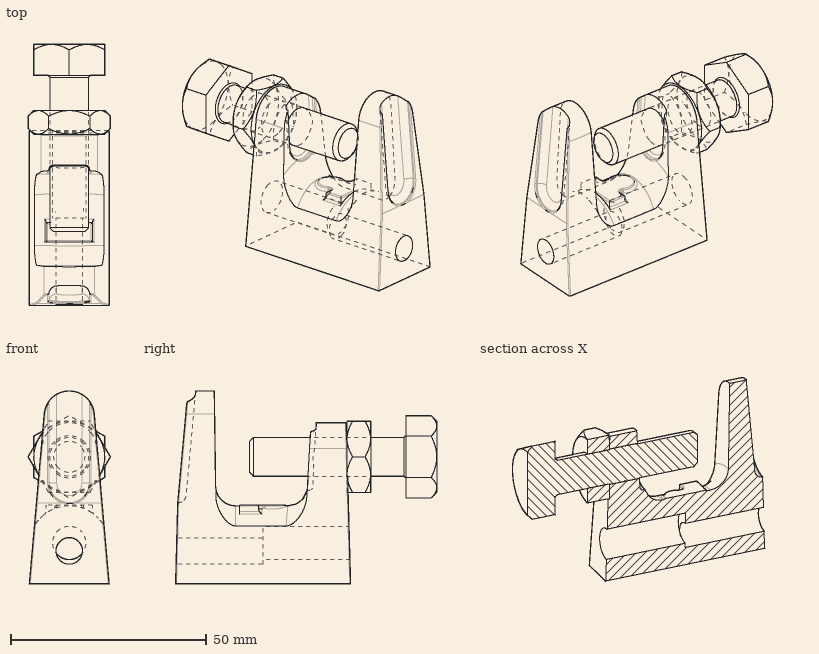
import cadquery as cq
import math

BASE_HALF_WIDTH = 10.25
SIDE_DRAFT = math.radians(5)
FRONT_ARM_HEIGHT = 49.5
REAR_ARM_HEIGHT = 41.4
BASE_LENGTH = 44.9
REAR_TOP_Y = 43.8
BEND_Y = 0.55
BEND_Z = 20.7
FRONT_TOP_Y = 3.15
EDGE_ROUND = 0.3

JAW_FOOT_Z = 24.55
FRONT_JAW_FOOT_Y = 10.3
FRONT_JAW_DRAFT = math.radians(0.8)
REAR_JAW_FOOT_Y = 33.8
REAR_JAW_DRAFT = math.radians(3.2)
SADDLE_RADIUS = 10.3
SADDLE_TOP_Z = 20.05
SADDLE_FILLET = 5.0

GROOVE_HALF_WIDTH = 5.3
GROOVE_WALL_DRAFT = 15.0
GROOVE_RIM_ROUND = 0.35
FRONT_GROOVE_CENTRE_Z = 26.0
FRONT_GROOVE_DEPTH = 2.0
FRONT_GROOVE_FILLET = 2.0
REAR_GROOVE_CENTRE_Z = 29.2
REAR_GROOVE_DEPTH = 1.35
REAR_GROOVE_FILLET = 0.8

PAD_TOP_Z = 20.25
PAD_BAR_HALF_WIDTH = 6.0
PAD_BAR_FRONT_Y = 16.35
PAD_BAR_REAR_Y = 21.3
PAD_DISC_Y = 24.7
PAD_DISC_RADIUS = 3.6
PAD_NECK_HALF_WIDTH = 3.15
PAD_NECK_ROUND = 0.95
PAD_TOP_ROUND = 0.35
PAD_FOOT_FILLET = 0.9

FRONT_HOLE_DIAMETER = 6.8
FRONT_HOLE_Z = 8.45
REAR_HOLE_DIAMETER = 8.5
REAR_HOLE_Z = 10.5

BOLT_Z = 32.6
BOLT_DIAMETER = 10.0
BOLT_TIP_Y = 19.0
BOLT_TIP_CHAMFER = 1.0
HEAD_FRONT_Y = 59.1
HEAD_REAR_Y = 67.05
COLLAR_RADIUS = 5.4
COLLAR_LENGTH = 0.55
HEX_ACROSS_FLATS = 18.3
HEX_CORNER_DIAMETER = HEX_ACROSS_FLATS / math.cos(math.radians(30))
HEX_CHAMFER_CLEARANCE = 0.1
NUT_FRONT_Y = 43.9
NUT_REAR_Y = 50.1

HALF_LENGTH = BASE_LENGTH / 2
TOLERANCE = 0.035
BEYOND = 3.35


def extrude_along_y(x, y, z):
    """Workplane at (x, y, z) with local x along X and local y along Z; negative lengths go toward +Y."""
    return cq.Workplane(cq.Plane(origin=(x, y, z), xDir=(1, 0, 0), normal=(0, -1, 0)))


def arch(height, y_start, y_end):
    """Drafted block with a round top tangent to its sides."""
    slope = math.tan(SIDE_DRAFT)
    cos_draft = math.cos(SIDE_DRAFT)
    sin_draft = math.sin(SIDE_DRAFT)
    radius = (BASE_HALF_WIDTH - slope * height) * cos_draft / (1 - sin_draft)
    centre_z = height - radius
    tangent_x = radius * cos_draft
    tangent_z = centre_z + radius * sin_draft
    return (
        extrude_along_y(0, y_start, 0)
        .moveTo(-BASE_HALF_WIDTH, 0)
        .lineTo(BASE_HALF_WIDTH, 0)
        .lineTo(tangent_x, tangent_z)
        .threePointArc((0, height), (-tangent_x, tangent_z))
        .close()
        .extrude(-(y_end - y_start))
    )


def jaw_y(foot_y, draft, z):
    """Y of a jaw face at height z; a positive draft leans it toward +Y going up."""
    return foot_y + math.tan(draft) * (z - JAW_FOOT_Z)


def front_jaw_y(z):
    return jaw_y(FRONT_JAW_FOOT_Y, -FRONT_JAW_DRAFT, z)


def rear_jaw_y(z):
    return jaw_y(REAR_JAW_FOOT_Y, REAR_JAW_DRAFT, z)


def front_face_y(z):
    """Y of the front face above its bend."""
    return BEND_Y + (FRONT_TOP_Y - BEND_Y) / (FRONT_ARM_HEIGHT - BEND_Z) * (z - BEND_Z)


def outer_block():
    """Both arms at full length, bounded by the sloping front and rear faces."""
    top = FRONT_ARM_HEIGHT + BEYOND
    rear_slope = (REAR_TOP_Y - BASE_LENGTH) / REAR_ARM_HEIGHT
    outline = [
        (0, 0),
        (BASE_LENGTH, 0),
        (BASE_LENGTH + rear_slope * top, top),
        (front_face_y(top), top),
        (BEND_Y, BEND_Z),
    ]
    side_shape = cq.Workplane("YZ").polyline(outline).close().extrude(2 * BASE_HALF_WIDTH, both=True)
    arches = arch(FRONT_ARM_HEIGHT, 0, HALF_LENGTH).union(arch(REAR_ARM_HEIGHT, HALF_LENGTH, BASE_LENGTH))
    return arches.intersect(side_shape)


def is_end_outline(edge):
    """True for the side and top edges of the front and rear faces."""
    y = edge.Center().y
    return y < FRONT_TOP_Y + TOLERANCE or y > REAR_TOP_Y - TOLERANCE


def jaw_opening():
    """Space between the arms, down to the saddle and its end fillets."""
    top = FRONT_ARM_HEIGHT + BEYOND
    bottom = SADDLE_TOP_Z - SADDLE_RADIUS
    outline = [
        (front_jaw_y(bottom), bottom),
        (rear_jaw_y(bottom), bottom),
        (rear_jaw_y(top), top),
        (front_jaw_y(top), top),
    ]
    space = cq.Workplane("YZ").polyline(outline).close().extrude(2 * BASE_HALF_WIDTH, both=True)
    saddle = extrude_along_y(0, -BEYOND, bottom).circle(SADDLE_RADIUS).extrude(-(BASE_LENGTH + 2 * BEYOND))
    space = space.cut(saddle)
    ends = space.edges(cq.selectors.BoxSelector(
        (-0.7, 0, SADDLE_TOP_Z - SADDLE_RADIUS / 2 - 5.35), (0.7, BASE_LENGTH, SADDLE_TOP_Z + 0.7)))
    return ends.fillet(SADDLE_FILLET)


def groove(plane, depth, fillet):
    """Round-ended groove, open upward, sunk into a face; the plane's normal points out of it."""
    length = FRONT_ARM_HEIGHT
    floor_half_width = GROOVE_HALF_WIDTH - depth * math.tan(math.radians(GROOVE_WALL_DRAFT))
    return (
        cq.Workplane(plane)
        .moveTo(-floor_half_width, length)
        .lineTo(-floor_half_width, 0)
        .threePointArc((0, -floor_half_width), (floor_half_width, 0))
        .lineTo(floor_half_width, length)
        .close()
        .extrude(depth + BEYOND, taper=-GROOVE_WALL_DRAFT)
        .translate(plane.zDir * -depth)
        .faces(cq.selectors.DirectionMinMaxSelector(plane.zDir, False))
        .edges()
        .fillet(fillet)
    )


def front_groove():
    """Groove joined to the open space ahead of the front face, flared at its rim."""
    lean = math.atan2(FRONT_TOP_Y - BEND_Y, FRONT_ARM_HEIGHT - BEND_Z)
    plane = cq.Plane(origin=(0, front_face_y(FRONT_GROOVE_CENTRE_Z), FRONT_GROOVE_CENTRE_Z),
                     xDir=(1, 0, 0), normal=(0, -math.cos(lean), math.sin(lean)))
    open_space = (cq.Workplane(plane)
                  .rect(2 * BASE_HALF_WIDTH, 2 * (FRONT_ARM_HEIGHT - BEYOND))
                  .extrude(BEYOND))
    flared = groove(plane, FRONT_GROOVE_DEPTH, FRONT_GROOVE_FILLET).union(open_space)
    return flared.edges("not |X").filter(is_front_groove_rim).fillet(GROOVE_RIM_ROUND)


def rear_groove():
    plane = cq.Plane(origin=(0, rear_jaw_y(REAR_GROOVE_CENTRE_Z), REAR_GROOVE_CENTRE_Z), xDir=(1, 0, 0),
                     normal=(0, -math.cos(REAR_JAW_DRAFT), math.sin(REAR_JAW_DRAFT)))
    return groove(plane, REAR_GROOVE_DEPTH, REAR_GROOVE_FILLET)


def is_front_groove_rim(edge):
    """True for the edges where the front groove meets the front face."""
    centre = edge.Center()
    on_face = abs(centre.y - front_face_y(centre.z)) < TOLERANCE
    return on_face and centre.z > BEND_Z + TOLERANCE and abs(centre.x) < GROOVE_HALF_WIDTH + TOLERANCE


def is_rear_groove_rim(edge):
    """True for the edges where the rear groove meets the rear jaw face."""
    centre = edge.Center()
    on_face = abs(centre.y - rear_jaw_y(centre.z)) < TOLERANCE
    return on_face and edge.Length() > 0.7 and abs(centre.x) < GROOVE_HALF_WIDTH + TOLERANCE


def saddle_pad():
    """Flat-topped mushroom pad: a cross bar, a neck and a disc."""
    bottom = SADDLE_TOP_Z - SADDLE_RADIUS
    height = PAD_TOP_Z - bottom
    base = cq.Workplane("XY").workplane(offset=bottom)
    bar_length = PAD_BAR_REAR_Y - PAD_BAR_FRONT_Y
    bar = (base.center(0, PAD_BAR_FRONT_Y + bar_length / 2)
           .rect(2 * PAD_BAR_HALF_WIDTH, bar_length).extrude(height))
    neck_length = PAD_DISC_Y - PAD_BAR_REAR_Y
    neck = (base.center(0, PAD_BAR_REAR_Y + neck_length / 2)
            .rect(2 * PAD_NECK_HALF_WIDTH, neck_length).extrude(height))
    disc = base.center(0, PAD_DISC_Y).circle(PAD_DISC_RADIUS).extrude(height)
    pad = bar.union(neck).union(disc)
    pad = pad.edges("|Z").filter(is_pad_neck_corner).fillet(PAD_NECK_ROUND)
    return pad.faces(">Z").edges().fillet(PAD_TOP_ROUND)


def is_pad_neck_corner(edge):
    """True for the four upright edges where the neck meets the bar and the disc."""
    centre = edge.Center()
    return PAD_BAR_FRONT_Y < centre.y < PAD_DISC_Y and abs(centre.x) < PAD_DISC_RADIUS


def is_pad_foot(edge):
    """True for the edges where the pad's sides and rear stand on the saddle cylinder."""
    centre = edge.Center()
    in_length = PAD_BAR_FRONT_Y + TOLERANCE < centre.y < PAD_DISC_Y + PAD_DISC_RADIUS
    if not in_length or abs(centre.x) > PAD_BAR_HALF_WIDTH + TOLERANCE:
        return False
    axis_z = SADDLE_TOP_Z - SADDLE_RADIUS
    points = [edge.positionAt(step / 2) for step in range(3)]
    return all(abs(math.hypot(p.x, p.z - axis_z) - SADDLE_RADIUS) < TOLERANCE for p in points)


def base_hole():
    """Small hole from the front meeting a larger, higher one from the rear."""
    front = (extrude_along_y(0, -BEYOND, FRONT_HOLE_Z)
             .circle(FRONT_HOLE_DIAMETER / 2).extrude(-(HALF_LENGTH + BEYOND)))
    rear = (extrude_along_y(0, HALF_LENGTH, REAR_HOLE_Z)
            .circle(REAR_HOLE_DIAMETER / 2).extrude(-(HALF_LENGTH + BEYOND)))
    return front.union(rear)


def bolt_bore(y_start, y_end):
    """Cylinder of the bolt's diameter on the bolt axis."""
    return extrude_along_y(0, y_start, BOLT_Z).circle(BOLT_DIAMETER / 2).extrude(-(y_end - y_start))


def hexagon(y_start, y_end, turn, chamfer_front, chamfer_rear):
    """Hexagonal prism along Y with its corners turned off at 45 degrees on the chosen ends."""
    length = y_end - y_start
    prism = (
        extrude_along_y(0, y_start, BOLT_Z)
        .polygon(6, HEX_CORNER_DIAMETER)
        .extrude(-length)
        .rotate((0, 0, BOLT_Z), (0, 1, BOLT_Z), turn)
    )
    corner = HEX_CORNER_DIAMETER / 2
    inner = HEX_ACROSS_FLATS / 2 - HEX_CHAMFER_CLEARANCE
    turned = extrude_along_y(0, y_start, BOLT_Z).circle(corner).extrude(-length)
    if chamfer_front:
        turned = turned.faces("<Y").chamfer(corner - inner)
    if chamfer_rear:
        turned = turned.faces(">Y").chamfer(corner - inner)
    return prism.intersect(turned)


def make_bolt():
    head = hexagon(HEAD_FRONT_Y, HEAD_REAR_Y, 30, False, True)
    shank = bolt_bore(BOLT_TIP_Y, HEAD_FRONT_Y).faces("<Y").chamfer(BOLT_TIP_CHAMFER)
    collar = (extrude_along_y(0, HEAD_FRONT_Y, BOLT_Z)
              .circle(COLLAR_RADIUS)
              .workplane(offset=COLLAR_LENGTH)
              .circle(BOLT_DIAMETER / 2)
              .loft())
    return head.union(collar).union(shank)


def make_nut():
    return hexagon(NUT_FRONT_Y, NUT_REAR_Y, 0, True, True).cut(bolt_bore(NUT_FRONT_Y, NUT_REAR_Y))


def make_clamp(nut):
    """Clamp body, with a shallow seat where the nut bears on its leaning rear face."""
    body = outer_block().edges("not |X").filter(is_end_outline).fillet(EDGE_ROUND)
    body = body.cut(front_groove())
    jaw = jaw_opening().union(rear_groove())
    jaw = jaw.edges().filter(is_rear_groove_rim).fillet(GROOVE_RIM_ROUND)
    body = body.cut(jaw).union(saddle_pad())
    body = body.edges().filter(is_pad_foot).fillet(PAD_FOOT_FILLET)
    body = body.cut(base_hole())
    body = body.cut(bolt_bore(HALF_LENGTH, BASE_LENGTH))
    return body.cut(nut)


bolt = make_bolt()
nut = make_nut()
clamp = make_clamp(nut)
result = cq.Compound.makeCompound([clamp.val(), bolt.val(), nut.val()])